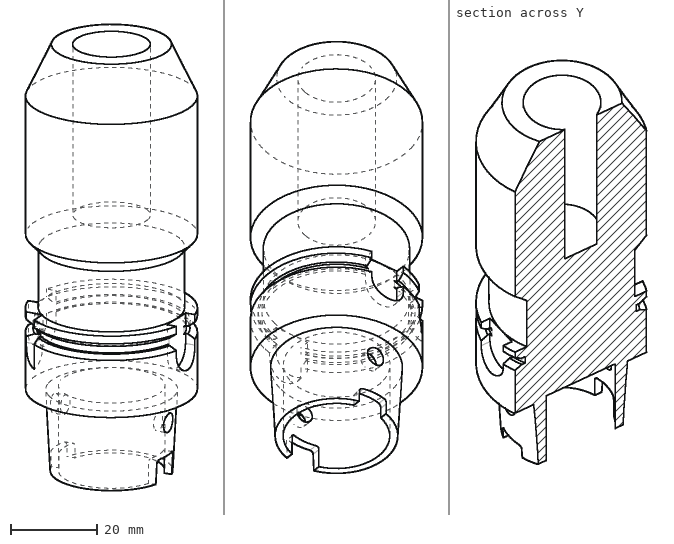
import cadquery as cq

TOTAL_LENGTH = 105.0
SHANK_LENGTH = 20.1
FLANGE_TOP = 40.1
BODY_CONE_START = 55.0
BODY_START = 58.2
NOSE_START = 92.3

BODY_RADIUS = 40.0 / 2
NECK_RADIUS = 17.0
NOSE_RADIUS = 14.0
SHANK_TOP_RADIUS = 15.3
SHANK_END_RADIUS = 14.3

GROOVE_RADIUS = 17.4
GROOVE_LEDGE_RADIUS = 18.3
GROOVE_LOWER_EDGE = 34.1
GROOVE_UPPER_EDGE = 38.2
GROOVE_FLOOR_BOTTOM = 35.1
GROOVE_FLOOR_TOP = 37.0

BORE_DIAMETER = 18.1
BORE_DEPTH = 42.0
HOLLOW_RADIUS = 12.4
HOLLOW_DEPTH = 21.0

SLOT_WIDTH = 9.2
SLOT_BOTTOM = 28.0
SLOT_FLOOR_X = NECK_RADIUS
CORNER_NOTCH_WALL = 11.9

CROSS_HOLE_DIAMETER = 4.6
CROSS_HOLE_HEIGHT = 14.2
KEYWAY_WIDTH = 7.9
KEYWAY_CORNER_RADIUS = 0.8
SHALLOW_KEYWAY_DEPTH = 3.8
DEEP_KEYWAY_DEPTH = 6.0

CUT_REACH = 2 * BODY_RADIUS


def make_turned_body():
    outline = [
        (0, 0),
        (SHANK_END_RADIUS, 0),
        (SHANK_TOP_RADIUS, SHANK_LENGTH),
        (BODY_RADIUS, SHANK_LENGTH),
        (BODY_RADIUS, GROOVE_LOWER_EDGE),
        (GROOVE_LEDGE_RADIUS, GROOVE_FLOOR_BOTTOM),
        (GROOVE_RADIUS, GROOVE_FLOOR_BOTTOM),
        (GROOVE_RADIUS, GROOVE_FLOOR_TOP),
        (GROOVE_LEDGE_RADIUS, GROOVE_FLOOR_TOP),
        (BODY_RADIUS, GROOVE_UPPER_EDGE),
        (BODY_RADIUS, FLANGE_TOP),
        (NECK_RADIUS, FLANGE_TOP),
        (NECK_RADIUS, BODY_CONE_START),
        (BODY_RADIUS, BODY_START),
        (BODY_RADIUS, NOSE_START),
        (NOSE_RADIUS, TOTAL_LENGTH),
        (0, TOTAL_LENGTH),
    ]
    return cq.Workplane("XZ").polyline(outline).close().revolve(360, (0, 0, 0), (0, 1, 0))


def make_slot_cutter(side, floor_distance, center_y):
    """Round-bottomed slot, open at the flange top, cut from outside in to its floor."""
    radius = SLOT_WIDTH / 2
    arc_center_z = SLOT_BOTTOM + radius
    return (
        cq.Workplane("YZ", origin=(side * floor_distance, center_y, 0))
        .moveTo(-radius, FLANGE_TOP)
        .lineTo(-radius, arc_center_z)
        .threePointArc((0, SLOT_BOTTOM), (radius, arc_center_z))
        .lineTo(radius, FLANGE_TOP)
        .close()
        .extrude(side * CUT_REACH)
    )


def make_keyway_cutter(side, depth):
    """Driving keyway through one side of the hollow shank wall."""
    return (
        cq.Workplane("XY")
        .box(CUT_REACH, KEYWAY_WIDTH, depth, centered=(True, True, False))
        .edges("|X and >Z")
        .fillet(KEYWAY_CORNER_RADIUS)
        .translate((side * CUT_REACH / 2, 0, 0))
    )


def make_cross_hole_cutter():
    return (
        cq.Workplane("YZ", origin=(0, 0, CROSS_HOLE_HEIGHT))
        .circle(CROSS_HOLE_DIAMETER / 2)
        .extrude(CUT_REACH, both=True)
    )


result = make_turned_body()

result = result.faces(">Z").workplane().hole(BORE_DIAMETER, BORE_DEPTH)
result = result.cut(cq.Workplane("XY").circle(HOLLOW_RADIUS).extrude(HOLLOW_DEPTH))

for side in (-1, 1):
    result = result.cut(make_slot_cutter(side, SLOT_FLOOR_X, 0))
notch_center_y = -(CORNER_NOTCH_WALL + SLOT_WIDTH / 2)
result = result.cut(make_slot_cutter(-1, CORNER_NOTCH_WALL, notch_center_y))

result = result.cut(make_keyway_cutter(-1, SHALLOW_KEYWAY_DEPTH))
result = result.cut(make_keyway_cutter(1, DEEP_KEYWAY_DEPTH))
result = result.cut(make_cross_hole_cutter())